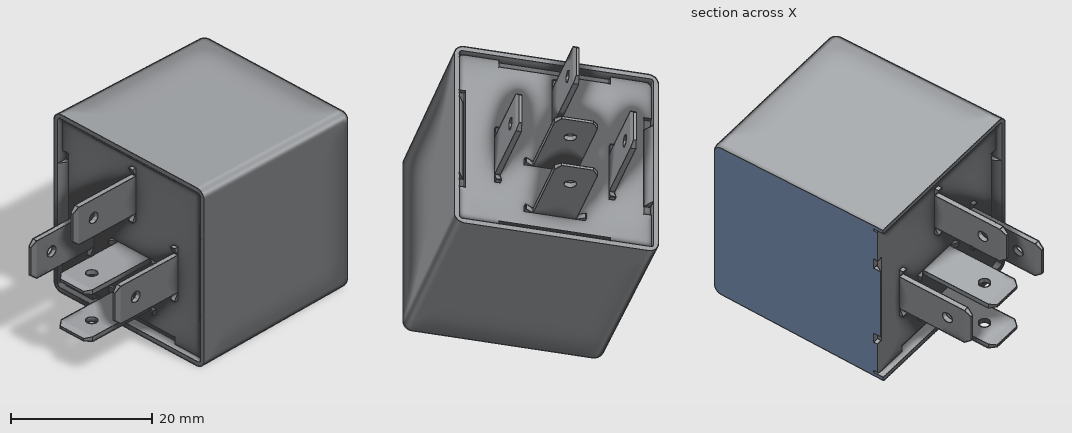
import cadquery as cq
import math

body_size = 30.0
body_length = 30.0
draft_angle = 0.5
edge_radius = 1.5
wall = 0.75

recess_depth = 1.0
opening_size = body_size - 2 * wall
opening_corner_radius = 0.5
base_corner_radius = 1.0

notch_length = 16.4
notch_width = 1.15
notch_floor = recess_depth + 0.65

barb_length = 13.0
barb_height = 1.0

blade_length = 11.5
blade_width = 6.3
blade_thickness = 0.8
tip_length = 1.0
tip_width = 4.7
tip_thickness = 0.4
hole_diameter = 1.75
hole_from_tip = 4.0

ears_span = 9.0
ear_height = 0.7
ear_crest = 0.15

side_blade_x = 8.4
side_blade_z = -2.1
blades = [
    (0.0, 7.4, 90),
    (-side_blade_x, side_blade_z, 90),
    (side_blade_x, side_blade_z, 90),
    (0.0, -2.5, 0),
    (0.0, -10.45, 0),
]


def block(x_size, z_size, y_start, y_end):
    """Box centred on the Y axis, reaching from y_start to y_end."""
    return cq.Workplane("XY").box(x_size, y_end - y_start, z_size).translate((0, (y_start + y_end) / 2, 0))


def make_housing():
    """Drafted block with its long edges and its closed end rounded."""
    end_size = body_size - 2 * body_length * math.tan(math.radians(draft_angle))
    return (
        cq.Workplane("XZ")
        .rect(body_size, body_size)
        .workplane(offset=-body_length)
        .rect(end_size, end_size)
        .loft(ruled=True)
        .faces("not <Y")
        .edges("not <Y")
        .fillet(edge_radius)
    )


def make_recess():
    """Space cut out of the open end, leaving the rim and the base plate."""
    opening = block(opening_size, opening_size, 0, notch_floor).edges("|Y").fillet(opening_corner_radius)
    base = block(opening_size, opening_size, recess_depth, notch_floor).edges("|Y").fillet(base_corner_radius)
    inner_size = opening_size - 2 * notch_width
    for x_size, z_size in ((notch_length, opening_size), (opening_size, notch_length)):
        notch = block(x_size, z_size, recess_depth, notch_floor)
        base = base.cut(notch.cut(block(inner_size, inner_size, recess_depth, notch_floor)))
    return opening.cut(base)


def make_barb():
    """Wedge on the right wall, rising from the rim toward the base plate."""
    wall_x = opening_size / 2
    return (
        cq.Workplane("XY")
        .moveTo(wall_x, 0)
        .lineTo(wall_x - barb_height, notch_floor)
        .lineTo(wall_x, notch_floor)
        .close()
        .extrude(barb_length / 2, both=True)
    )


def make_blade():
    """Flat blade along -Y with a bevelled, drilled tip and an ear at each edge."""
    shoulder_y = tip_length - blade_length
    shank = block(blade_width, blade_thickness, shoulder_y, recess_depth)
    tip = (
        cq.Workplane("XZ", origin=(0, shoulder_y, 0))
        .rect(blade_width, blade_thickness)
        .workplane(offset=tip_length)
        .rect(tip_width, tip_thickness)
        .loft(ruled=True)
    )
    hole = (
        cq.Workplane("XY", origin=(0, hole_from_tip - blade_length, -blade_thickness / 2))
        .circle(hole_diameter / 2)
        .extrude(blade_thickness)
    )
    outer_x = ears_span / 2
    crest_y = recess_depth - ear_height
    ear = (
        cq.Workplane("XY")
        .moveTo(outer_x, recess_depth)
        .lineTo(outer_x, crest_y)
        .lineTo(outer_x - ear_crest, crest_y)
        .lineTo(blade_width / 2, recess_depth)
        .close()
        .extrude(blade_thickness / 2, both=True)
    )
    root = block(ears_span, blade_thickness, recess_depth, notch_floor)
    return shank.union(tip).cut(hole).union(root).union(ear).union(ear.mirror("YZ"))


result = make_housing().cut(make_recess())

barb = make_barb()
result = result.union(barb).union(barb.mirror("YZ"))

blade = make_blade()
for x, z, turn in blades:
    result = result.union(blade.rotate((0, 0, 0), (0, 1, 0), turn).translate((x, 0, z)))